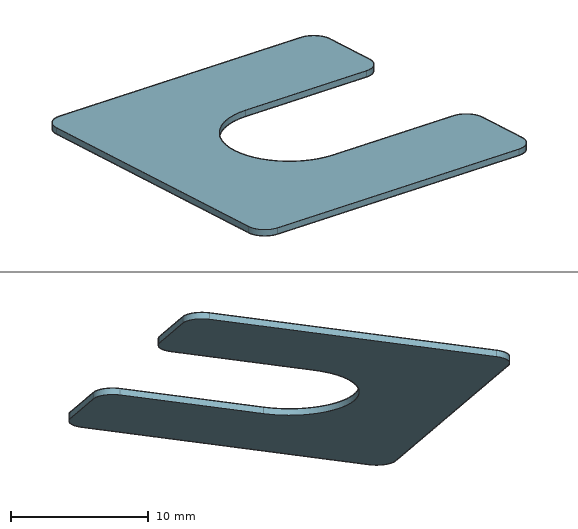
import cadquery as cq

side = 25.4
thickness = 0.5
slot_width = 10.15
web = 7.62
corner_radius = 1.5

half_side = side / 2
slot_radius = slot_width / 2
slot_bottom = -half_side + web
slot_center = slot_bottom + slot_radius

outline = (
    cq.Workplane("XY")
    .moveTo(-half_side, -half_side)
    .lineTo(half_side, -half_side)
    .lineTo(half_side, half_side)
    .lineTo(slot_radius, half_side)
    .lineTo(slot_radius, slot_center)
    .threePointArc((0, slot_bottom), (-slot_radius, slot_center))
    .lineTo(-slot_radius, half_side)
    .lineTo(-half_side, half_side)
    .close()
)
plate = outline.extrude(thickness)

outer_corners = [(x, y) for x in (-half_side, half_side) for y in (-half_side, half_side)]
mouth_corners = [(x, half_side) for x in (-slot_radius, slot_radius)]
corner_edges = cq.Workplane("XY")
for x, y in outer_corners + mouth_corners:
    corner_edges = corner_edges.add(
        plate.edges(cq.selectors.NearestToPointSelector((x, y, thickness / 2))).val()
    )
result = plate.newObject(corner_edges.vals()).fillet(corner_radius)